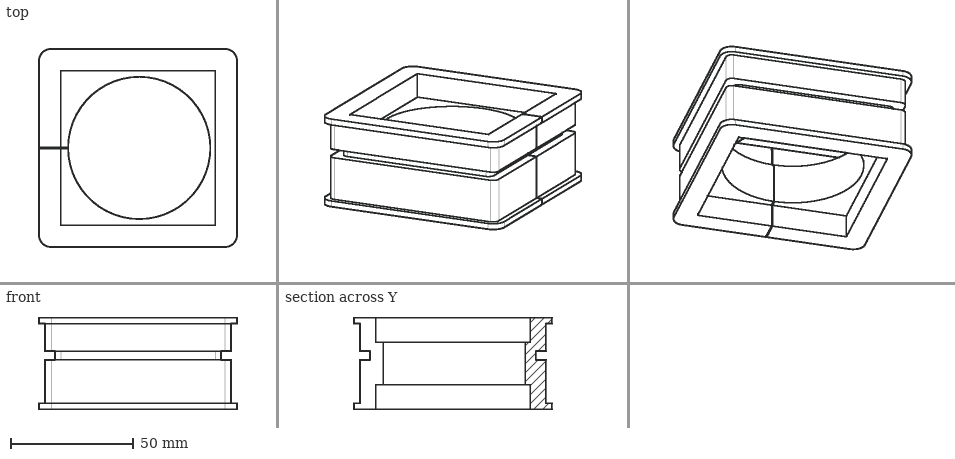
import cadquery as cq

flange_size = 81.0
flange_thickness = 2.5
flange_corner_radius = 5.0
total_height = 37.5

body_size = 76.0
body_corner_radius = 2.5
groove_depth = 4.0
groove_bottom = 20.25
groove_width = 3.5

pocket_size = 63.0
pocket_depth = 10.0
bore_diameter = 58.0
bore_offset_x = 0.5

slit_width = 0.4


def rounded_square(size, height, corner_radius, bottom):
    """Square block centred on Z with rounded vertical edges."""
    block = cq.Workplane("XY").workplane(offset=bottom).rect(size, size).extrude(height)
    return block.edges("|Z").fillet(corner_radius)


def make_outer_shape():
    """Stacked square sections: flange, body, neck, body, flange."""
    neck_size = body_size - 2 * groove_depth
    top_flange_bottom = total_height - flange_thickness
    groove_top = groove_bottom + groove_width
    lower_body_height = groove_bottom - flange_thickness
    upper_body_height = top_flange_bottom - groove_top

    shape = rounded_square(flange_size, flange_thickness, flange_corner_radius, 0)
    shape = shape.union(rounded_square(body_size, lower_body_height, body_corner_radius, flange_thickness))
    shape = shape.union(rounded_square(neck_size, groove_width, body_corner_radius, groove_bottom))
    shape = shape.union(rounded_square(body_size, upper_body_height, body_corner_radius, groove_top))
    return shape.union(
        rounded_square(flange_size, flange_thickness, flange_corner_radius, top_flange_bottom)
    )


def make_pocket(bottom):
    """Sharp-cornered square pocket in one end."""
    return cq.Workplane("XY").workplane(offset=bottom).rect(pocket_size, pocket_size).extrude(pocket_depth)


def make_bore():
    """Round through bore, slightly off centre along X."""
    return cq.Workplane("XY").center(bore_offset_x, 0).circle(bore_diameter / 2).extrude(total_height)


def make_slit():
    """Full-height slit from the -X side into the bore."""
    slit_length = flange_size / 2
    return (
        cq.Workplane("XY")
        .center(-slit_length / 2, 0)
        .rect(slit_length, slit_width)
        .extrude(total_height)
    )


result = make_outer_shape()
for pocket_bottom in (0, total_height - pocket_depth):
    result = result.cut(make_pocket(pocket_bottom))
result = result.cut(make_bore())
result = result.cut(make_slit())